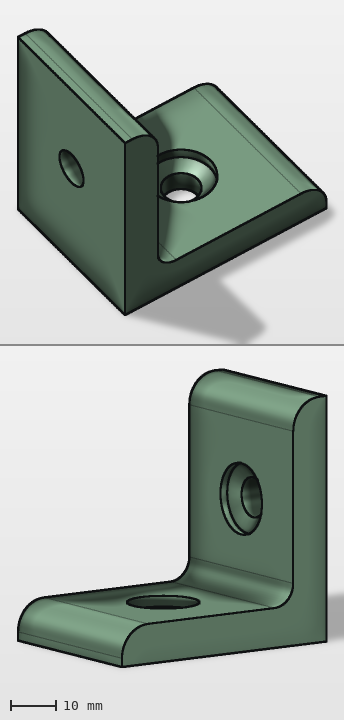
import cadquery as cq

width = 40.0
leg_length = 55.1
thickness = 9.0
tip_radius = 7.0
inner_radius = 5.0

hole_offset = 30.0
bore_diameter = 9.0
recess_diameter = 16.0
horizontal_recess_depth = 2.4
horizontal_seat_depth = 1.45
vertical_recess_depth = 1.8
vertical_seat_depth = horizontal_seat_depth


def make_angle():
    """L-shaped body with rounded leg tips and a rounded inner corner."""
    outline = [
        (0, 0),
        (leg_length, 0),
        (leg_length, thickness),
        (thickness, thickness),
        (thickness, leg_length),
        (0, leg_length),
    ]
    body = cq.Workplane("YZ").polyline(outline).close().extrude(width / 2, both=True)
    nearest_edge = cq.selectors.NearestToPointSelector
    body = body.edges(nearest_edge((0, leg_length, thickness))).fillet(tip_radius)
    body = body.edges(nearest_edge((0, thickness, leg_length))).fillet(tip_radius)
    return body.edges(nearest_edge((0, thickness, thickness))).fillet(inner_radius)


def make_screw_cutter(recess_depth, seat_depth):
    """Stepped screw hole through the horizontal leg, as a solid of revolution."""
    bore_radius = bore_diameter / 2
    recess_radius = recess_diameter / 2
    seat_top = thickness - recess_depth
    profile = [
        (0, 0),
        (bore_radius, 0),
        (bore_radius, seat_top - seat_depth),
        (recess_radius, seat_top),
        (recess_radius, thickness),
        (0, thickness),
    ]
    cutter = cq.Workplane("XZ").polyline(profile).close().revolve(360, (0, 0), (0, 1))
    return cutter.translate((0, hole_offset, 0))


horizontal_cutter = make_screw_cutter(horizontal_recess_depth, horizontal_seat_depth)
vertical_cutter = make_screw_cutter(vertical_recess_depth, vertical_seat_depth)
vertical_cutter = vertical_cutter.rotate((0, 0, 0), (1, 0, 0), 90).mirror("XZ")

result = make_angle().cut(horizontal_cutter).cut(vertical_cutter)